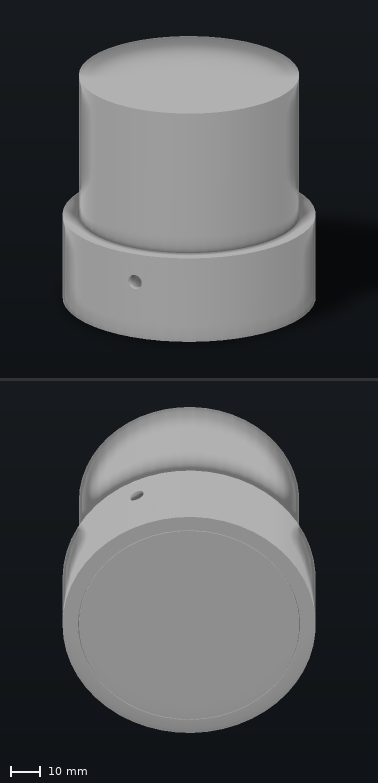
import cadquery as cq

collar_diameter = 85.2
collar_height = 30.0
collar_bore_diameter = 74.8
plug_diameter = 74.2
total_height = 80.0
side_hole_diameter = 5.0
side_hole_height = 20.0


def make_collar():
    """Ring around the plug, with one radial hole through its -Y wall."""
    ring = (
        cq.Workplane("XY")
        .circle(collar_diameter / 2)
        .circle(collar_bore_diameter / 2)
        .extrude(collar_height)
    )
    side_hole = (
        cq.Workplane("XZ")
        .center(0, side_hole_height)
        .circle(side_hole_diameter / 2)
        .extrude(collar_diameter / 2)
    )
    return ring.cut(side_hole)


def make_plug():
    """Plain cylinder standing in the collar with a small clearance all round."""
    return cq.Workplane("XY").circle(plug_diameter / 2).extrude(total_height)


collar = make_collar()
plug = make_plug()

result = cq.Compound.makeCompound([collar.val(), plug.val()])